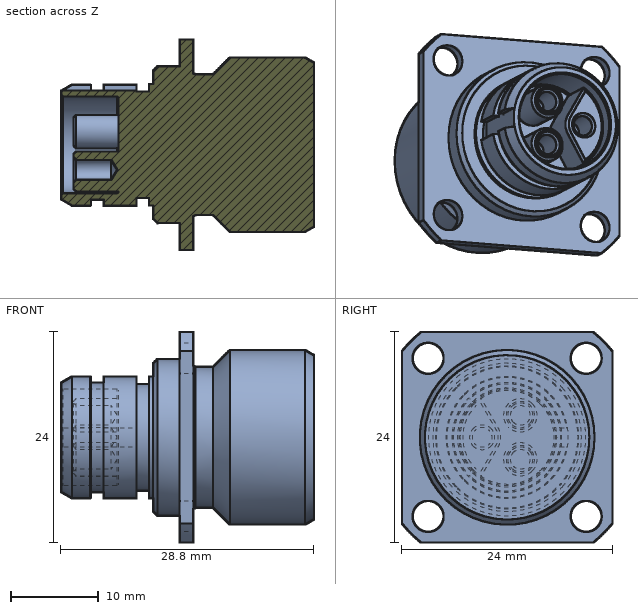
import cadquery as cq
import math


NOSE_BEVEL_END = 1.23
SEAL_GROOVE_START = 3.4
SEAL_GROOVE_END = 4.82
BARREL_END = 8.6
COLLAR_START = 10.0
BOSS_START = 10.47
PLATE_START = 13.5
PLATE_THICKNESS = 1.55
PLATE_END = PLATE_START + PLATE_THICKNESS
REAR_NECK_END = 17.3
TOTAL_LENGTH = 28.8

BARREL_R = 6.95
SEAL_GROOVE_R = 6.27
RELIEF_R = 6.1
BOSS_R = 8.95
REAR_NECK_R = 8.05
REAR_R = 9.95

BEVEL_SLOPE = math.tan(math.radians(30))
BOSS_CHAMFER = 0.5
GROOVE_EDGE_BREAK = 0.1
NECK_FLARE_LENGTH = 0.25
NECK_FLARE_HEIGHT = 0.1
REAR_BEVEL_LENGTH = 1.02

PLATE_SIDE = 24.0
PLATE_CORNER_R = 15.5
MOUNT_HOLE_OFFSET = 9.0
MOUNT_HOLE_D = 3.5

KEYWAY_WIDTH = 2.15
KEYWAY_FLOOR_Y = 6.2

CAVITY_MOUTH_R = 5.65
CAVITY_R = 5.5
CAVITY_FLOOR_R = 5.35
MOUTH_BEVEL_LENGTH = 0.2
CAVITY_FLOOR_X = 6.5

INSERT_FACE_X = 1.4
INSERT_HEIGHT = CAVITY_FLOOR_X - INSERT_FACE_X
POST_R = 1.9
POST_CHAMFER = 0.3
POST_Y = 1.5
POST_Z = 2.5
EARTH_Y = -2.85
SECTOR_NOSE_R = 2.12
SECTOR_HALF_ANGLE = math.radians(60)
SECTOR_CHAMFER = 0.3

SOCKET_MOUTH_R = 1.42
SOCKET_R = 1.12
SOCKET_BORE_LENGTH = 4.0
DRILL_HALF_ANGLE = math.radians(59)


def revolve_about_x(points):
    """Revolve an (x, radius) outline about the X axis."""
    profile = cq.Workplane("XY").polyline(points).close()
    return profile.revolve(360, (0, 0, 0), (1, 0, 0))


def turned_body():
    nose_tip_r = BARREL_R - NOSE_BEVEL_END * BEVEL_SLOPE
    rear_cone_end = REAR_NECK_END + REAR_R - REAR_NECK_R
    rear_end_r = REAR_R - REAR_BEVEL_LENGTH * BEVEL_SLOPE
    return revolve_about_x([
        (0, 0),
        (0, nose_tip_r),
        (NOSE_BEVEL_END, BARREL_R),
        (SEAL_GROOVE_START - GROOVE_EDGE_BREAK, BARREL_R),
        (SEAL_GROOVE_START, BARREL_R - GROOVE_EDGE_BREAK),
        (SEAL_GROOVE_START, SEAL_GROOVE_R),
        (SEAL_GROOVE_END, SEAL_GROOVE_R),
        (SEAL_GROOVE_END, BARREL_R),
        (BARREL_END, BARREL_R),
        (BARREL_END, RELIEF_R),
        (COLLAR_START, RELIEF_R),
        (COLLAR_START, BARREL_R),
        (BOSS_START, BARREL_R),
        (BOSS_START, BOSS_R - BOSS_CHAMFER),
        (BOSS_START + BOSS_CHAMFER, BOSS_R),
        (PLATE_END, BOSS_R),
        (PLATE_END, REAR_NECK_R + NECK_FLARE_HEIGHT),
        (PLATE_END + NECK_FLARE_LENGTH, REAR_NECK_R),
        (REAR_NECK_END, REAR_NECK_R),
        (rear_cone_end, REAR_R),
        (TOTAL_LENGTH - REAR_BEVEL_LENGTH, REAR_R),
        (TOTAL_LENGTH, rear_end_r),
        (TOTAL_LENGTH, 0),
    ])


def mounting_plate():
    plane = cq.Workplane("YZ", origin=(PLATE_START, 0, 0))
    corner_disc = plane.circle(PLATE_CORNER_R).extrude(PLATE_THICKNESS)
    holes = (
        plane.rect(2 * MOUNT_HOLE_OFFSET, 2 * MOUNT_HOLE_OFFSET, forConstruction=True)
        .vertices()
        .circle(MOUNT_HOLE_D / 2)
        .extrude(PLATE_THICKNESS)
    )
    plate = plane.rect(PLATE_SIDE, PLATE_SIDE).extrude(PLATE_THICKNESS)
    return plate.intersect(corner_disc).cut(holes)


def keyway():
    depth = BARREL_R - KEYWAY_FLOOR_Y
    slot = cq.Workplane("XY").box(BARREL_END, depth, KEYWAY_WIDTH, centered=(False, False, True))
    return slot.translate((0, KEYWAY_FLOOR_Y, 0))


def cavity():
    floor_bevel = CAVITY_R - CAVITY_FLOOR_R
    return revolve_about_x([
        (0, 0),
        (0, CAVITY_MOUTH_R),
        (MOUTH_BEVEL_LENGTH, CAVITY_R),
        (CAVITY_FLOOR_X - floor_bevel, CAVITY_R),
        (CAVITY_FLOOR_X, CAVITY_FLOOR_R),
        (CAVITY_FLOOR_X, 0),
    ])


def contact_post(y, z):
    plane = cq.Workplane("YZ", origin=(INSERT_FACE_X, y, z))
    return plane.circle(POST_R).extrude(INSERT_HEIGHT).faces("<X").chamfer(POST_CHAMFER)


def earth_sector():
    """Chamfered block between the cavity wall and a rounded V around the earth socket."""
    arm_y = -math.cos(SECTOR_HALF_ANGLE)
    arm_z = math.sin(SECTOR_HALF_ANGLE)
    tangent_y = EARTH_Y + SECTOR_NOSE_R * arm_z
    tangent_z = -SECTOR_NOSE_R * arm_y
    along = tangent_y * arm_y + tangent_z * arm_z
    beyond = tangent_y**2 + tangent_z**2 - CAVITY_FLOOR_R**2
    arm_length = -along + math.sqrt(along**2 - beyond)
    corner_y = tangent_y + arm_length * arm_y
    corner_z = tangent_z + arm_length * arm_z

    return (
        cq.Workplane("YZ", origin=(INSERT_FACE_X, 0, 0))
        .moveTo(corner_y, -corner_z)
        .lineTo(tangent_y, -tangent_z)
        .threePointArc((EARTH_Y + SECTOR_NOSE_R, 0), (tangent_y, tangent_z))
        .lineTo(corner_y, corner_z)
        .threePointArc((-CAVITY_FLOOR_R, 0), (corner_y, -corner_z))
        .close()
        .extrude(INSERT_HEIGHT)
        .faces("<X")
        .chamfer(SECTOR_CHAMFER)
    )


def contact_socket(y, z):
    bore_start = SOCKET_MOUTH_R - SOCKET_R
    bore_end = bore_start + SOCKET_BORE_LENGTH
    point_depth = bore_end + SOCKET_R / math.tan(DRILL_HALF_ANGLE)
    socket = revolve_about_x([
        (0, 0),
        (0, SOCKET_MOUTH_R),
        (bore_start, SOCKET_R),
        (bore_end, SOCKET_R),
        (point_depth, 0),
    ])
    return socket.translate((INSERT_FACE_X, y, z))


post_places = [(POST_Y, -POST_Z), (POST_Y, POST_Z)]
socket_places = post_places + [(EARTH_Y, 0)]

result = turned_body().union(mounting_plate())
result = result.cut(keyway()).cut(cavity())
result = result.union(earth_sector())
for place in post_places:
    result = result.union(contact_post(*place))
for place in socket_places:
    result = result.cut(contact_socket(*place))